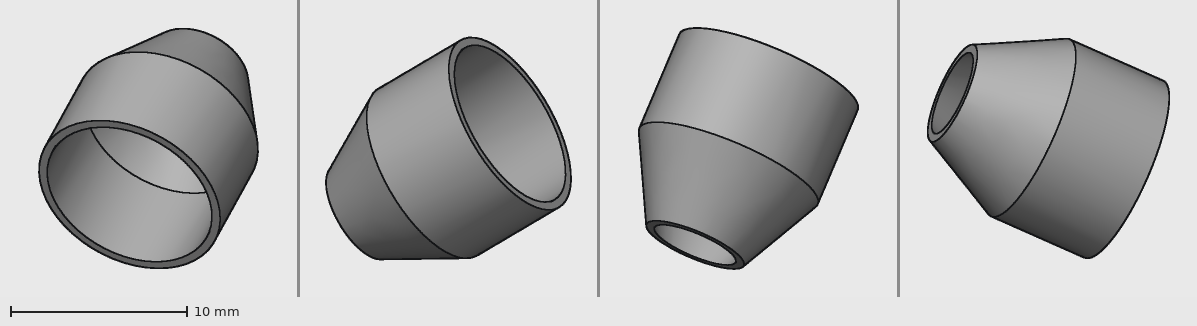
import cadquery as cq

sleeve_diameter = 11.0
tip_diameter = 6.0
wall = 0.5
sleeve_length = 6.0
cone_length = 5.0

sleeve_radius = sleeve_diameter / 2
tip_radius = tip_diameter / 2
total_length = sleeve_length + cone_length


def tapered_sleeve(straight_radius, end_radius):
    """Solid of revolution about Y: a cylinder from y = 0, then a cone narrowing toward +Y."""
    half_profile = (
        cq.Workplane("YZ")
        .moveTo(0, 0)
        .lineTo(0, straight_radius)
        .lineTo(sleeve_length, straight_radius)
        .lineTo(total_length, end_radius)
        .lineTo(total_length, 0)
        .close()
    )
    return half_profile.revolve(360, (0, 0, 0), (1, 0, 0))


body = tapered_sleeve(sleeve_radius, tip_radius)

bore = tapered_sleeve(sleeve_radius - wall, tip_radius - wall)

result = body.cut(bore)